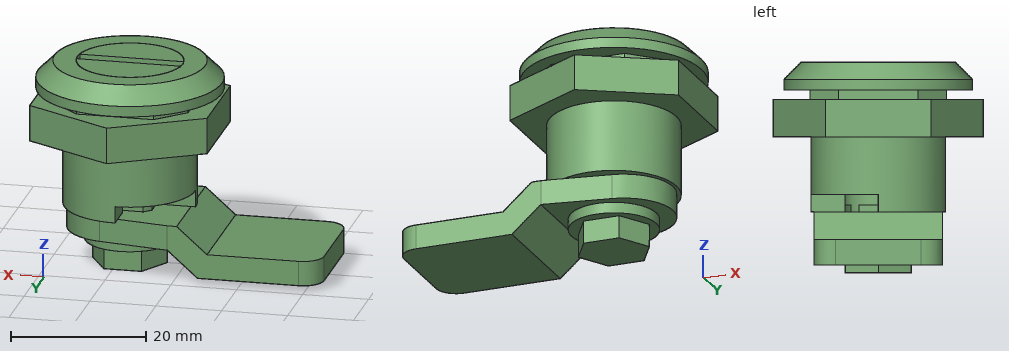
import cadquery as cq
import math


HEX_SIDES = 6

HEAD_DIA = 27.94
HEAD_HEIGHT = 4.15
HEAD_CHAMFER = 2.54
BODY_DIA = 19.94
BODY_LENGTH = 18.0
NECK_WIDTH = 20.27
NECK_CHAMFER = 4.29
HEAD_BORE_DIA = 16.0
SHAFT_DIA = 9.83
STOP_NOTCH_HEIGHT = 2.54
BORE_FLOOR_THICKNESS = 2 * STOP_NOTCH_HEIGHT

NUT_CORNER_DIA = 31.09
NUT_THICKNESS = 5.54
NUT_GAP = 1.37

CORE_HEAD_DIA = 15.88
SLOT_WIDTH = 2.12
SLOT_DEPTH = 3.0
SQUARE_SIZE = 8.0
SQUARE_RISE = 1.0

CAM_THICKNESS = 3.81
CAM_WIDTH = 19.05
CAM_REACH = 30.92
CAM_DROP = 4.06
CAM_BEND_ANGLE = math.radians(41.4)
CAM_TOP_BEND_X = -9.25
CAM_CORNER_RADIUS = 3.18
CAM_HUB_RADIUS = 7.85
CAM_HUB_X = 1.58

BOLT_FLANGE_DIA = 13.54
BOLT_FLANGE_THICKNESS = 1.68
BOLT_HEX_FLATS = 9.83
BOLT_HEX_HEIGHT = 3.53
BOLT_SHANK_DIA = 6.0
BOLT_SHANK_LENGTH = 10.0

HEAD_TOP_Z = HEAD_HEIGHT
BODY_BOTTOM_Z = -BODY_LENGTH
BORE_FLOOR_Z = BODY_BOTTOM_Z + BORE_FLOOR_THICKNESS
CAM_BOTTOM_Z = BODY_BOTTOM_Z - CAM_THICKNESS


def cylinder(diameter, bottom_z, top_z):
    base = cq.Workplane("XY").workplane(offset=bottom_z)
    return base.circle(diameter / 2).extrude(top_z - bottom_z)


def square_drive(bottom_z, top_z):
    """Square shaft whose corners are rounded off by the shaft diameter."""
    height = top_z - bottom_z
    square = cq.Workplane("XY").workplane(offset=bottom_z).rect(SQUARE_SIZE, SQUARE_SIZE).extrude(height)
    return square.intersect(cylinder(SHAFT_DIA, bottom_z, top_z))


def make_housing():
    head = cylinder(HEAD_DIA, 0, HEAD_TOP_Z).faces(">Z").chamfer(HEAD_CHAMFER)
    neck = (
        cq.Workplane("XY")
        .rect(NECK_WIDTH, NECK_WIDTH)
        .extrude(-NUT_GAP)
        .edges("|Z")
        .chamfer(NECK_CHAMFER)
    )
    body = cylinder(BODY_DIA, BODY_BOTTOM_Z, 0)
    housing = head.union(neck).union(body)
    housing = housing.cut(cylinder(HEAD_BORE_DIA, BORE_FLOOR_Z, HEAD_TOP_Z))
    housing = housing.cut(cylinder(SHAFT_DIA, BODY_BOTTOM_Z, BORE_FLOOR_Z))

    notch = cq.Workplane("XY").box(BODY_DIA, BODY_DIA, STOP_NOTCH_HEIGHT, centered=False)
    return housing.cut(notch.translate((-BODY_DIA, 0, BODY_BOTTOM_Z)))


def make_nut():
    bottom_z = -NUT_GAP - NUT_THICKNESS
    hexagon = (
        cq.Workplane("XY")
        .workplane(offset=bottom_z)
        .polygon(HEX_SIDES, NUT_CORNER_DIA)
        .extrude(NUT_THICKNESS)
        .rotate((0, 0, 0), (0, 0, 1), 180 / HEX_SIDES)
    )
    return hexagon.cut(cylinder(BODY_DIA, bottom_z, -NUT_GAP))


def make_core():
    square_top_z = BODY_BOTTOM_Z + SQUARE_RISE
    head = cylinder(CORE_HEAD_DIA, BORE_FLOOR_Z, HEAD_TOP_Z)
    shaft = cylinder(SHAFT_DIA, square_top_z, BORE_FLOOR_Z)
    core = head.union(shaft).union(square_drive(CAM_BOTTOM_Z, square_top_z))
    slot = cq.Workplane("XY").box(HEAD_BORE_DIA, SLOT_WIDTH, SLOT_DEPTH)
    core = core.cut(slot.translate((0, 0, HEAD_TOP_Z - SLOT_DEPTH / 2)))
    return core.cut(cylinder(BOLT_SHANK_DIA, CAM_BOTTOM_Z, CAM_BOTTOM_Z + BOLT_SHANK_LENGTH))


def make_cam():
    bend_run = CAM_DROP / math.tan(CAM_BEND_ANGLE)
    bend_shift = CAM_THICKNESS * math.tan(CAM_BEND_ANGLE / 2)
    low_bend_x = CAM_TOP_BEND_X - bend_run
    under_bend_x = CAM_TOP_BEND_X + bend_shift
    hub_end_x = CAM_HUB_X + CAM_HUB_RADIUS
    strip = (
        cq.Workplane("XZ")
        .moveTo(hub_end_x, BODY_BOTTOM_Z)
        .lineTo(CAM_TOP_BEND_X, BODY_BOTTOM_Z)
        .lineTo(low_bend_x, BODY_BOTTOM_Z - CAM_DROP)
        .lineTo(-CAM_REACH, BODY_BOTTOM_Z - CAM_DROP)
        .lineTo(-CAM_REACH, CAM_BOTTOM_Z - CAM_DROP)
        .lineTo(low_bend_x + bend_shift, CAM_BOTTOM_Z - CAM_DROP)
        .lineTo(under_bend_x, CAM_BOTTOM_Z)
        .lineTo(hub_end_x, CAM_BOTTOM_Z)
        .close()
        .extrude(CAM_WIDTH / 2, both=True)
        .edges("|Z and <X")
        .fillet(CAM_CORNER_RADIUS)
    )

    half_width = CAM_WIDTH / 2
    taper_run = CAM_HUB_X - under_bend_x
    corner_distance = math.hypot(taper_run, half_width)
    taper_angle = math.acos(CAM_HUB_RADIUS / corner_distance) - math.atan2(taper_run, half_width)
    tangent_x = CAM_HUB_X + CAM_HUB_RADIUS * math.sin(taper_angle)
    tangent_y = CAM_HUB_RADIUS * math.cos(taper_angle)
    outline = (
        cq.Workplane("XY")
        .workplane(offset=CAM_BOTTOM_Z - CAM_DROP)
        .moveTo(-CAM_REACH, -half_width)
        .lineTo(under_bend_x, -half_width)
        .lineTo(tangent_x, -tangent_y)
        .threePointArc((hub_end_x, 0), (tangent_x, tangent_y))
        .lineTo(under_bend_x, half_width)
        .lineTo(-CAM_REACH, half_width)
        .close()
        .extrude(CAM_THICKNESS + CAM_DROP)
    )
    return strip.intersect(outline).cut(square_drive(CAM_BOTTOM_Z, BODY_BOTTOM_Z))


def make_bolt():
    flange_bottom_z = CAM_BOTTOM_Z - BOLT_FLANGE_THICKNESS
    corner_dia = BOLT_HEX_FLATS / math.cos(math.pi / HEX_SIDES)
    flange = cylinder(BOLT_FLANGE_DIA, flange_bottom_z, CAM_BOTTOM_Z)
    shank = cylinder(BOLT_SHANK_DIA, CAM_BOTTOM_Z, CAM_BOTTOM_Z + BOLT_SHANK_LENGTH)
    hexagon = (
        cq.Workplane("XY")
        .workplane(offset=flange_bottom_z)
        .polygon(HEX_SIDES, corner_dia)
        .extrude(-BOLT_HEX_HEIGHT)
    )
    return flange.union(shank).union(hexagon)


housing = make_housing()
nut = make_nut()
core = make_core()
cam = make_cam()
bolt = make_bolt()

result = cq.Compound.makeCompound([housing.val(), nut.val(), core.val(), cam.val(), bolt.val()])